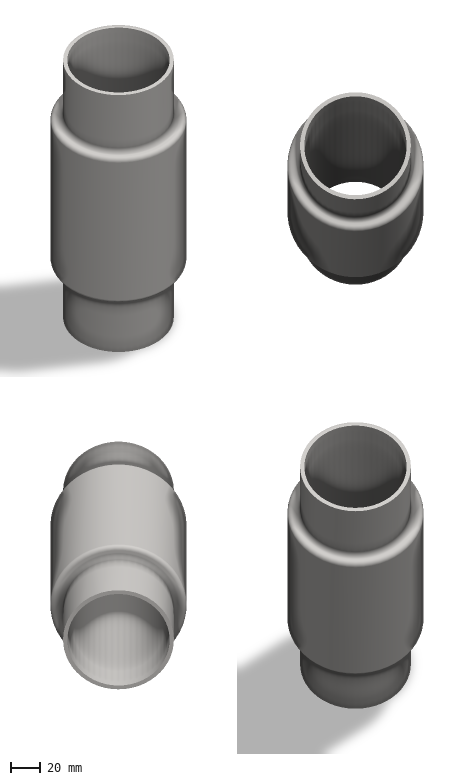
import cadquery as cq

total_length = 228.0
body_length = 128.0
body_diameter = 93.5
pipe_diameter = 76.1
wall_thickness = 2.9
rim_radius = 3.0
neck_radius = 3.0

body_radius = body_diameter / 2
pipe_radius = pipe_diameter / 2
bore_radius = pipe_radius - wall_thickness
half_length = total_length / 2
half_body = body_length / 2


def make_tube():
    """Revolve the wall section (radius, height) about Z: bore, pipe ends and body in one turn."""
    neck_end = half_body + neck_radius
    neck_foot = pipe_radius + neck_radius
    rim_start = body_radius - rim_radius
    rim_end = half_body - rim_radius
    section = (
        cq.Workplane("XZ")
        .moveTo(bore_radius, -half_length)
        .lineTo(pipe_radius, -half_length)
        .lineTo(pipe_radius, -neck_end)
        .tangentArcPoint((neck_foot, -half_body), relative=False)
        .lineTo(rim_start, -half_body)
        .tangentArcPoint((body_radius, -rim_end), relative=False)
        .lineTo(body_radius, rim_end)
        .tangentArcPoint((rim_start, half_body), relative=False)
        .lineTo(neck_foot, half_body)
        .tangentArcPoint((pipe_radius, neck_end), relative=False)
        .lineTo(pipe_radius, half_length)
        .lineTo(bore_radius, half_length)
        .close()
    )
    return section.revolve(360, (0, 0, 0), (0, 1, 0))


result = make_tube()